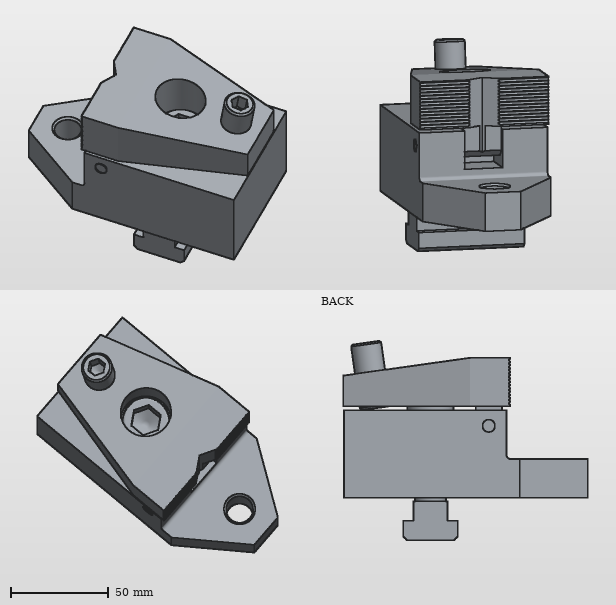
import cadquery as cq
import math


overall_length = 126.0
width = 68.0

base_length = 125.6
base_height = 45.1
ledge_height = 20.0
block_front = 41.8
nose_width = 18.9
nose_length = 35.0
ledge_fillet = 2.0
mount_hole_x = 17.9
mount_hole_diameter = 13.9
mount_hole_chamfer = 1.1
slot_floor = 25.1

jaw_front = 40.1
jaw_bottom = 47.0
jaw_height = 25.1
jaw_top = jaw_bottom + jaw_height
jaw_taper_x = 60.7
jaw_rear_width = 34.0
top_slope = 8.0
slope_drop = math.tan(math.radians(top_slope))
jaw_rear_height = jaw_top - (overall_length - jaw_taper_x) * slope_drop
access_hole_diameter = 26.0

tongue_front = 44.1
tongue_thickness = 13.7
tongue_width = 20.2
tongue_bottom = 30.6
tongue_chamfer = 3.3

notch_half_width = 8.5
notch_angle = 120.0
notch_depth = notch_half_width / math.tan(math.radians(notch_angle / 2))

tooth_groove_count = 14
tooth_groove_span = 22.2
tooth_pitch = tooth_groove_span / (tooth_groove_count - 1)
tooth_groove_width = 1.4
tooth_valley_radius = 0.4
first_groove_drop = 1.3

slot_back = tongue_front + tongue_thickness + (tongue_front - block_front)

pin_x = 51.0
pin_z = 37.0
pin_diameter = 6.4
pin_recess = 0.5

clamp_x = 81.0
head_diameter = 24.0
head_height = 16.0
head_fillet = 1.5
clamp_shank_diameter = 16.0
clamp_hex_flats = 14.0
clamp_hex_depth = 8.1
head_top = 49.0
head_seat = head_top - head_height

nut_gap = 1.9
nut_height = 20.0
nut_top = -nut_gap
nut_bottom = nut_top - nut_height
nut_neck_width = 17.5
nut_flange_width = 28.1
nut_flange_height = 10.2
nut_chamfer = 2.0
nut_length = 56.0
shank_bottom = nut_top - (nut_height - nut_flange_height)

jack_x = 112.1
jack_diameter = 15.8
jack_above = 15.1
jack_top_chamfer = 1.0
jack_end_chamfer = 1.3
jack_hex_flats = 8.1
jack_hex_depth = 8.1
jack_tilt = math.radians(top_slope)
jack_slope_z = jaw_top - (jack_x - jaw_taper_x) * slope_drop
jack_rim_drop = (jack_diameter / 2 - jack_end_chamfer) * math.sin(jack_tilt)
jack_below = (jack_slope_z - base_height - jack_rim_drop) / math.cos(jack_tilt)

socket_cone_angle = 120.0


def vertical_cylinder(x, diameter, bottom, top):
    return cq.Workplane("XY", origin=(x, 0, bottom)).circle(diameter / 2).extrude(top - bottom)


def hex_socket(flats, depth):
    """Hexagonal socket cutter below Z = 0, closed by a conical bottom."""
    corner_radius = flats / math.sqrt(3)
    cone_depth = corner_radius / math.tan(math.radians(socket_cone_angle / 2))
    tip = -(depth + cone_depth)
    prism = cq.Workplane("XY").polygon(6, 2 * corner_radius).extrude(tip)
    drilled_envelope = (
        cq.Workplane("XZ")
        .polyline([(0, 0), (corner_radius, 0), (corner_radius, -depth), (0, tip)])
        .close()
        .revolve(360, (0, 0), (0, 1))
    )
    return prism.intersect(drilled_envelope)


def make_jack_screw():
    radius = jack_diameter / 2
    screw = cq.Workplane("XY").workplane(offset=-jack_below).circle(radius).extrude(jack_above + jack_below)
    screw = screw.faces(">Z").chamfer(jack_top_chamfer)
    screw = screw.faces("<Z").chamfer(jack_end_chamfer)
    screw = screw.cut(hex_socket(jack_hex_flats, jack_hex_depth).translate((0, 0, jack_above)))
    return screw.rotate((0, 0, 0), (0, 1, 0), top_slope).translate((jack_x, 0, jack_slope_z))


def make_clamp_screw():
    head = vertical_cylinder(clamp_x, head_diameter, head_seat, head_top)
    head = head.faces(">Z").edges().fillet(head_fillet)
    shank = vertical_cylinder(clamp_x, clamp_shank_diameter, shank_bottom, head_seat)
    socket = hex_socket(clamp_hex_flats, clamp_hex_depth).translate((clamp_x, 0, head_top))
    return head.union(shank).cut(socket)


def make_pin():
    half_length = width / 2 - pin_recess
    return (
        cq.Workplane("XZ", origin=(pin_x, half_length, pin_z))
        .circle(pin_diameter / 2)
        .extrude(2 * half_length)
    )


def pin_hole():
    return (
        cq.Workplane("XZ", origin=(pin_x, 0, pin_z))
        .circle(pin_diameter / 2)
        .extrude(width, both=True)
    )


def make_base():
    base = (
        cq.Workplane("XZ")
        .polyline([
            (0, 0),
            (base_length, 0),
            (base_length, base_height),
            (block_front, base_height),
            (block_front, ledge_height),
            (0, ledge_height),
        ])
        .close()
        .extrude(width / 2, both=True)
    )
    inner_corner = cq.selectors.NearestToPointSelector((block_front, 0, ledge_height))
    base = base.edges(inner_corner).fillet(ledge_fillet)

    plan = (
        cq.Workplane("XY")
        .polyline([
            (0, -nose_width / 2),
            (nose_length, -width / 2),
            (base_length, -width / 2),
            (base_length, width / 2),
            (nose_length, width / 2),
            (0, nose_width / 2),
        ])
        .close()
        .extrude(base_height)
    )
    base = base.intersect(plan)

    base = base.cut(vertical_cylinder(mount_hole_x, mount_hole_diameter, 0, ledge_height))
    mouth = cq.Solid.makeCone(
        mount_hole_diameter / 2,
        mount_hole_diameter / 2 + mount_hole_chamfer,
        mount_hole_chamfer,
        cq.Vector(mount_hole_x, 0, ledge_height - mount_hole_chamfer),
    )
    base = base.cut(cq.Workplane(mouth))

    slot = cq.Workplane("XY").box(
        slot_back - block_front, tongue_width, base_height - slot_floor, centered=(False, True, False)
    )
    base = base.cut(slot.translate((block_front, 0, slot_floor)))

    base = base.cut(vertical_cylinder(clamp_x, clamp_shank_diameter, 0, head_seat))
    base = base.cut(vertical_cylinder(clamp_x, head_diameter, head_seat, base_height))

    return base.cut(pin_hole())


def tooth_groove():
    """Horizontal groove cutter entering a face at X = 0, centred on Z = 0."""
    half_width = tooth_groove_width / 2
    tangent_z = tooth_valley_radius / math.sqrt(2)
    tangent_x = half_width - tangent_z
    valley_x = half_width - tooth_valley_radius * (math.sqrt(2) - 1)
    return (
        cq.Workplane("XZ")
        .moveTo(0, -half_width)
        .lineTo(tangent_x, -tangent_z)
        .threePointArc((valley_x, 0), (tangent_x, tangent_z))
        .lineTo(0, half_width)
        .close()
        .extrude(width / 2, both=True)
    )


def make_jaw(jack_screw):
    body = (
        cq.Workplane("XZ")
        .polyline([
            (jaw_front, jaw_bottom),
            (overall_length, jaw_bottom),
            (overall_length, jaw_rear_height),
            (jaw_taper_x, jaw_top),
            (jaw_front, jaw_top),
        ])
        .close()
        .extrude(width / 2, both=True)
    )

    plan = (
        cq.Workplane("XY", origin=(0, 0, jaw_bottom))
        .polyline([
            (jaw_front, -width / 2),
            (jaw_taper_x, -width / 2),
            (overall_length, -jaw_rear_width / 2),
            (overall_length, jaw_rear_width / 2),
            (jaw_taper_x, width / 2),
            (jaw_front, width / 2),
        ])
        .close()
        .extrude(jaw_height)
    )
    body = body.intersect(plan)

    for index in range(tooth_groove_count):
        groove_z = jaw_top - first_groove_drop - index * tooth_pitch
        body = body.cut(tooth_groove().translate((jaw_front, 0, groove_z)))

    tongue = cq.Workplane("XY").box(
        tongue_thickness, tongue_width, jaw_bottom - tongue_bottom, centered=(False, True, False)
    )
    tongue = tongue.edges("<X and <Z").chamfer(tongue_chamfer)
    jaw = body.union(tongue.translate((tongue_front, 0, tongue_bottom)))

    notch = (
        cq.Workplane("XY", origin=(0, 0, tongue_bottom))
        .polyline([
            (jaw_front, -notch_half_width),
            (jaw_front + notch_depth, 0),
            (jaw_front, notch_half_width),
        ])
        .close()
        .extrude(jaw_top - tongue_bottom)
    )
    jaw = jaw.cut(notch)

    jaw = jaw.cut(vertical_cylinder(clamp_x, access_hole_diameter, jaw_bottom, jaw_top))
    return jaw.cut(jack_screw).cut(pin_hole())


def make_t_nut(clamp_screw):
    flange = (
        cq.Workplane("XY", origin=(clamp_x, 0, nut_bottom))
        .box(nut_flange_width, nut_length, nut_flange_height, centered=(True, True, False))
        .edges("|Y and <Z")
        .chamfer(nut_chamfer)
    )
    neck = (
        cq.Workplane("XY", origin=(clamp_x, 0, nut_bottom))
        .box(nut_neck_width, nut_length, nut_height, centered=(True, True, False))
    )
    return flange.union(neck).cut(clamp_screw)


jack_screw = make_jack_screw()
clamp_screw = make_clamp_screw()
pin = make_pin()
base = make_base()
jaw = make_jaw(jack_screw)
t_nut = make_t_nut(clamp_screw)

result = cq.Compound.makeCompound([
    base.val(),
    jaw.val(),
    pin.val(),
    clamp_screw.val(),
    t_nut.val(),
    jack_screw.val(),
])